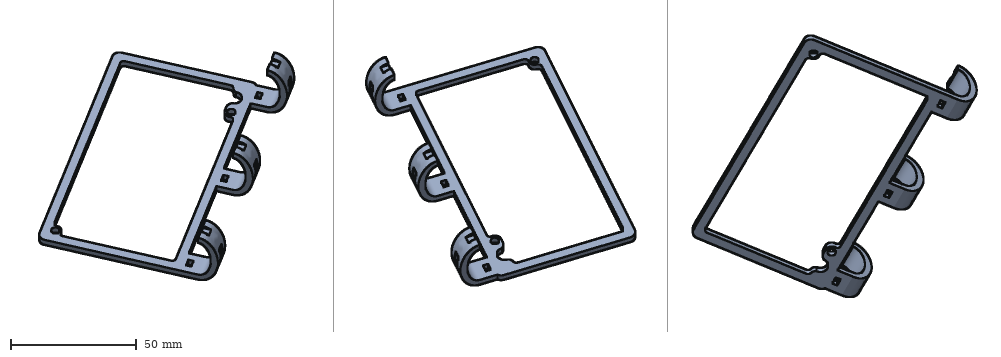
import cadquery as cq
import math

length = 105.0
frame_width = 60.0
thickness = 3.0
side_rail = 4.1
outer_radius = 3.0
opening_radius = 1.5
opening_right = frame_width - side_rail
opening_top = length - side_rail

screw_diameter = 3.3
low_screw = (5.7, 6.1)
low_boss_radius = 2.4
high_screw = (54.0, 87.3)
high_boss_radius = 2.7
high_boss_stretch = 1.8
high_boss_top_radius = 3.4
boss_blend = 1.6
high_boss_blend = 1.3

corner_center = (53.3, 100.3)
corner_radius = 2.4
relief_center = (52.8, 94.9)
relief_radius = opening_right - relief_center[0]

hook_width = 10.0
hook_centers = (hook_width / 2, length / 2, 98.9)
bend_start = 66.8
hook_reach = 8.3
hook_height = 24.9

tie_width = 3.0
slot_left = 60.8
slot_length = 2.1
tip_flat_depth = 1.2
back_flat_depth = 0.5


def block(x_min, x_max, y_min, y_max, z_min=0.0, z_max=thickness):
    """Box between the given limits."""
    size = (x_max - x_min, y_max - y_min, z_max - z_min)
    return cq.Workplane("XY").box(*size, centered=False).translate((x_min, y_min, z_min))


def disc(center, radius):
    """Upright cylinder as thick as the frame."""
    return cq.Workplane("XY").center(*center).circle(radius).extrude(thickness)


def blend(body, point, radius):
    """Round the upright edge at a point in plan."""
    edge = cq.selectors.NearestToPointSelector((*point, thickness / 2))
    return body.edges("|Z").edges(edge).fillet(radius)


def make_opening():
    """Space inside the rails, shaped around the bosses and the filled corner."""
    opening = block(side_rail, opening_right, side_rail, opening_top)
    opening = opening.edges("|Z").fillet(opening_radius)

    opening = opening.cut(disc(low_screw, low_boss_radius))
    rise = math.sqrt(low_boss_radius**2 - (low_screw[0] - side_rail) ** 2)
    run = math.sqrt(low_boss_radius**2 - (low_screw[1] - side_rail) ** 2)
    opening = blend(opening, (side_rail, low_screw[1] + rise), boss_blend)
    opening = blend(opening, (low_screw[0] + run, side_rail), boss_blend)

    x, y = high_screw
    stretched_y = y + high_boss_stretch
    opening = opening.cut(disc(high_screw, high_boss_radius))
    boss_left = x - high_boss_radius
    top_center = (boss_left + high_boss_top_radius, stretched_y)
    opening = opening.cut(disc(top_center, high_boss_top_radius))
    opening = opening.cut(block(boss_left, x, y, stretched_y))
    opening = opening.cut(block(x, opening_right, y, relief_center[1]))
    drop = math.sqrt(high_boss_radius**2 - (opening_right - x) ** 2)
    opening = blend(opening, (opening_right, y - drop), high_boss_blend)

    opening = opening.cut(disc(corner_center, corner_radius))
    opening = opening.cut(block(corner_center[0], opening_right, relief_center[1], opening_top))
    reach = math.sqrt(corner_radius**2 - (opening_top - corner_center[1]) ** 2)
    opening = blend(opening, (corner_center[0] - reach, opening_top), boss_blend)

    return opening.union(disc(relief_center, relief_radius))


def make_frame():
    """Flat frame with its opening and screw holes."""
    frame = block(0, frame_width, 0, length).edges("|Z").fillet(outer_radius)
    frame = frame.cut(make_opening())
    for center in (low_screw, high_screw):
        frame = frame.cut(disc(center, screw_diameter / 2))
    return frame


def half_ellipse(reach, height, width):
    """Half of an elliptical cylinder on the +X side of the bend, centred on Y = 0."""
    half_width = width / 2
    full = (
        cq.Workplane("XZ", origin=(bend_start, half_width, hook_height / 2))
        .ellipse(reach, height / 2)
        .extrude(width)
    )
    return full.intersect(
        block(bend_start, bend_start + reach, -half_width, half_width, 0, hook_height)
    )


def make_hook():
    """Tab and curved hook, centred on Y = 0."""
    half_width = hook_width / 2
    half_tie = tie_width / 2
    hook_right = bend_start + hook_reach
    hook = half_ellipse(hook_reach, hook_height, hook_width)
    hook = hook.cut(half_ellipse(hook_reach - thickness, hook_height - 2 * thickness, hook_width))
    hook = hook.union(block(opening_right, bend_start, -half_width, half_width))

    slot = block(slot_left, slot_left + slot_length, -half_tie, half_tie)
    tip_flat = block(
        bend_start, hook_right, -half_tie, half_tie, hook_height - tip_flat_depth, hook_height
    )
    back_flat = block(
        hook_right - back_flat_depth, hook_right, -half_tie, half_tie, 0, hook_height
    )
    return hook.cut(slot).cut(tip_flat).cut(back_flat)


result = make_frame()
for center_y in hook_centers:
    result = result.union(make_hook().translate((0, center_y, 0)))